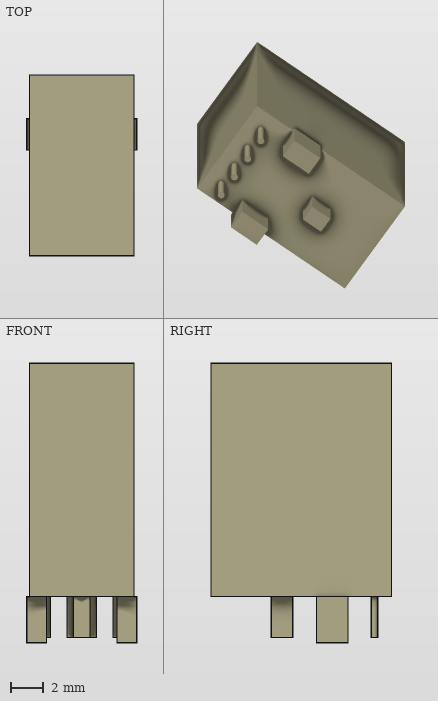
import cadquery as cq

total_height = 16.99
body_width = 6.35
body_depth = 11.0

feet_span = 6.7
foot_width = 1.2
foot_depth = 1.92
foot_height = 2.8
foot_y = 1.89

pin_length = 2.5
blade_width = 0.99
blade_depth = 1.33
blade_y = -1.17
pin_diameter = 0.4
pin_pitch = 1.4
pin_count = 4
pin_row_y = 4.45

body_height = total_height - foot_height


def leg(width, depth, length, x, y):
    """Rectangular leg hanging from the underside of the body."""
    return (
        cq.Workplane("XY")
        .center(x, y)
        .rect(width, depth)
        .extrude(-length)
    )


result = cq.Workplane("XY").rect(body_width, body_depth).extrude(body_height)

foot_x = (feet_span - foot_width) / 2
for side in (-1, 1):
    result = result.union(leg(foot_width, foot_depth, foot_height, side * foot_x, foot_y))

result = result.union(leg(blade_width, blade_depth, pin_length, 0, blade_y))

pins = (
    cq.Workplane("XY")
    .center(0, pin_row_y)
    .rarray(pin_pitch, 0.17, pin_count, 1)
    .circle(pin_diameter / 2)
    .extrude(-pin_length)
)
result = result.union(pins)